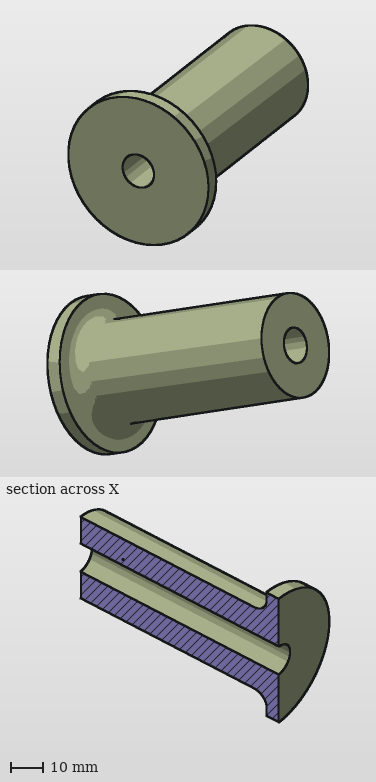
import cadquery as cq

length = 80.0
flange_diameter = 50.0
flange_thickness = 5.0
barrel_diameter = 33.0
bore_diameter = 11.2
fillet_radius = 5.0

front_y = -length / 2


def cylinder_along_y(diameter, height):
    """Cylinder starting at the flange face and running toward +Y."""
    plane = cq.Plane(origin=(0, front_y, 0), xDir=(1, 0, 0), normal=(0, 1, 0))
    return cq.Workplane(plane).circle(diameter / 2).extrude(height)


flange = cylinder_along_y(flange_diameter, flange_thickness)
barrel = cylinder_along_y(barrel_diameter, length)
body = flange.union(barrel)

corner_y = front_y + flange_thickness
tolerance = 0.01
corner = body.edges("%CIRCLE").filter(
    lambda edge: abs(edge.Center().y - corner_y) < tolerance
    and abs(edge.radius() - barrel_diameter / 2) < tolerance
)
body = corner.fillet(fillet_radius)

result = body.cut(cylinder_along_y(bore_diameter, length))